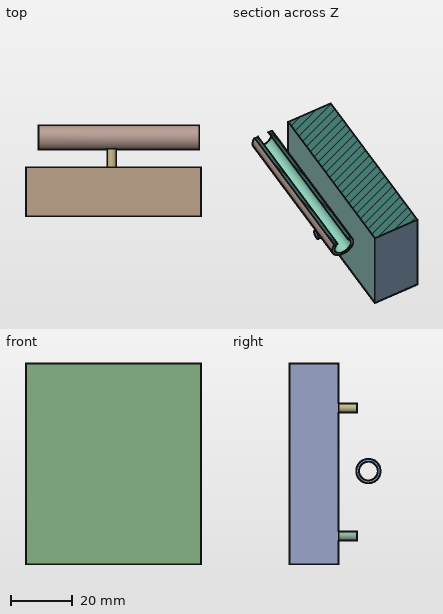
import cadquery as cq

block_width = 57.0
block_depth = 16.0
block_height = 65.3

pin_diameter = 3.0
pin_length = 6.0
pin_x = -0.6
pin_heights = (-23.45, 18.15)

tube_outer_diameter = 8.0
tube_bore_diameter = 6.0
tube_length = 52.25
tube_centre_x = 1.75
tube_z = -2.35
overall_depth = 29.65
tube_y = overall_depth - tube_outer_diameter / 2


def make_pin(height):
    """One round pin rising along +Y from the back face."""
    axis_start = cq.Vector(pin_x, block_depth, height)
    pin = cq.Solid.makeCylinder(pin_diameter / 2, pin_length, axis_start, cq.Vector(0, 1, 0))
    return cq.Workplane(obj=pin)


def make_block():
    """The slab together with its pins, as one solid."""
    block = cq.Workplane().box(block_width, block_depth, block_height, centered=(True, False, True))
    for height in pin_heights:
        block = block.union(make_pin(height))
    return block


def make_tube():
    """A straight tube, open at both ends."""
    tube_start = (tube_centre_x - tube_length / 2, tube_y, tube_z)
    return (
        cq.Workplane("YZ", origin=tube_start)
        .circle(tube_outer_diameter / 2)
        .circle(tube_bore_diameter / 2)
        .extrude(tube_length)
    )


block = make_block()
tube = make_tube()

result = cq.Compound.makeCompound([block.val(), tube.val()])